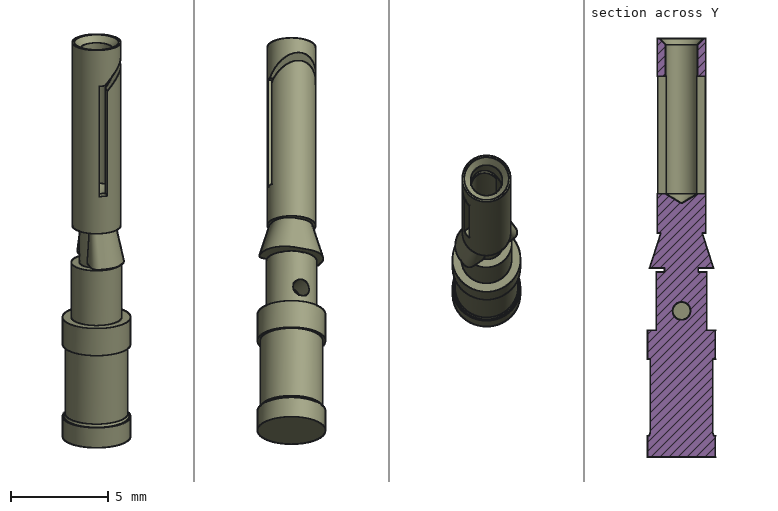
import cadquery as cq
import math

total_height = 21.5
tube_bottom = 11.5
barb_bottom = 9.7
neck_bottom = 9.5
collar_top = 6.51
collar_bottom = 5.03
taper_top = 1.25
foot_top = 1.1

tube_radius = 1.25
neck_radius = 0.88
body_radius = 2.6 / 2
collar_radius = 3.5 / 2
barrel_radius = 1.61
taper_radius = 1.68

bore_radius = 0.82
mouth_radius = 1.15
mouth_depth = mouth_radius - bore_radius
drill_point_angle = math.radians(118)

slot_front = -0.2
slot_back = 0.24
slot_floor = 13.52
slot_top = 19.55
slot_turn_height = 19.25
slot_bend = 0.09
slot_overrun = 0.43

inspection_radius = 0.45
inspection_height = 7.5


def turned_body():
    """Stepped body of revolution, listed from the foot to the tip."""
    profile = [
        (0, 0),
        (collar_radius, 0),
        (collar_radius, foot_top),
        (taper_radius, foot_top),
        (barrel_radius, taper_top),
        (barrel_radius, collar_bottom),
        (collar_radius, collar_bottom),
        (collar_radius, collar_top),
        (body_radius, collar_top),
        (body_radius, neck_bottom),
        (neck_radius, neck_bottom),
        (neck_radius, tube_bottom),
        (tube_radius, tube_bottom),
        (tube_radius, total_height),
        (0, total_height),
    ]
    return cq.Workplane("XZ").polyline(profile).close().revolve(360, (0, 0), (0, 1))


def barb_outline(plane, half_width, front, back, front_round, back_round):
    """Rectangle with small rounds on its -Y corners and large ones on +Y."""
    front_inset = front_round * (1 - math.sqrt(0.5))
    back_inset = back_round * (1 - math.sqrt(0.5))
    return (
        plane.moveTo(front_round - half_width, front)
        .lineTo(half_width - front_round, front)
        .threePointArc((half_width - front_inset, front + front_inset), (half_width, front + front_round))
        .lineTo(half_width, back - back_round)
        .threePointArc((half_width - back_inset, back - back_inset), (half_width - back_round, back))
        .lineTo(back_round - half_width, back)
        .threePointArc((back_inset - half_width, back - back_inset), (-half_width, back - back_round))
        .lineTo(-half_width, front + front_round)
        .threePointArc((front_inset - half_width, front + front_inset), (front_round - half_width, front))
        .close()
    )


def retaining_barb():
    """Flared barb around the neck, open at the -Y side where the neck shows."""
    lower = barb_outline(
        cq.Workplane("XY").workplane(offset=barb_bottom),
        half_width=1.65, front=-0.67, back=1.31, front_round=0.39, back_round=1.27,
    )
    flare_height = tube_bottom - barb_bottom
    return barb_outline(
        lower.workplane(offset=flare_height),
        half_width=1.08, front=-0.58, back=0.97, front_round=0.25, back_round=0.92,
    ).loft(ruled=True)


def socket_bore():
    """Drilled bore with a conical floor and a 45 degree mouth."""
    point_depth = bore_radius / math.tan(drill_point_angle / 2)
    profile = [
        (0, slot_floor - point_depth),
        (bore_radius, slot_floor),
        (bore_radius, total_height - mouth_depth),
        (mouth_radius, total_height),
        (0, total_height),
    ]
    return cq.Workplane("XZ").polyline(profile).close().revolve(360, (0, 0), (0, 1))


def contact_slot():
    """Bent slot through the full width of the tube along X."""
    exit_y = tube_radius + slot_overrun
    profile = [
        (slot_front, slot_floor),
        (slot_back, slot_floor),
        (slot_back, slot_turn_height),
        (exit_y, slot_turn_height + exit_y - slot_back),
        (exit_y, slot_top + exit_y - slot_bend),
        (slot_bend, slot_top),
        (slot_front, slot_top),
    ]
    return cq.Workplane("YZ").polyline(profile).close().extrude(tube_radius + slot_overrun, both=True)


def inspection_hole():
    """Radial hole from the axis out through the +Y side."""
    start = cq.Workplane("XZ").center(0, inspection_height)
    return start.circle(inspection_radius).extrude(-collar_radius)


result = (
    turned_body()
    .union(retaining_barb())
    .cut(socket_bore())
    .cut(contact_slot())
    .cut(inspection_hole())
)